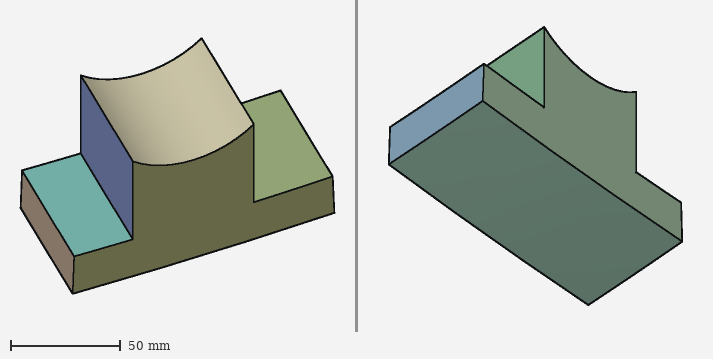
import cadquery as cq
import math

width = 60.0
total_height = 75.1
front_reach = 59.9
back_reach = 70.1
base_thickness = 24.0
outer_radius = 1999.4
saddle_radius = 46.0
pedestal_width = 60.0

inner_radius = outer_radius - base_thickness
sphere_center = (0, 0, outer_radius)


def polar(radius, angle):
    """(Y, Z) point at an angle from straight down about the sphere centre."""
    return (radius * math.sin(angle), outer_radius - radius * math.cos(angle))


def dished_base():
    """Thin slice of a spherical shell with ends that point at the sphere centre."""
    front_angle = -math.asin(front_reach / outer_radius)
    back_angle = math.asin(back_reach / outer_radius)
    profile = (
        cq.Workplane("YZ")
        .moveTo(*polar(outer_radius, front_angle))
        .threePointArc(polar(outer_radius, 0), polar(outer_radius, back_angle))
        .lineTo(*polar(inner_radius, back_angle))
        .threePointArc(polar(inner_radius, 0), polar(inner_radius, front_angle))
        .close()
    )
    sweep_angle = 4.0
    shell = profile.revolve(sweep_angle, (0, outer_radius), (1, outer_radius))
    shell = shell.rotate(sphere_center, (0, 1, outer_radius), -sweep_angle / 2)
    side_trim = cq.Workplane("XY").box(width, 4 * back_reach, 4 * total_height)
    return shell.intersect(side_trim)


def pedestal():
    """Upright block with a cylindrical saddle, rooted inside the base."""
    root_height = base_thickness / 2
    block = (
        cq.Workplane("XY")
        .workplane(offset=root_height)
        .rect(width, pedestal_width)
        .extrude(total_height - root_height)
    )
    half_chord = pedestal_width / 2
    saddle_center = total_height + math.sqrt(saddle_radius**2 - half_chord**2)
    saddle = (
        cq.Workplane("YZ")
        .center(0, saddle_center)
        .circle(saddle_radius)
        .extrude(width, both=True)
    )
    return block.cut(saddle)


result = dished_base().union(pedestal())